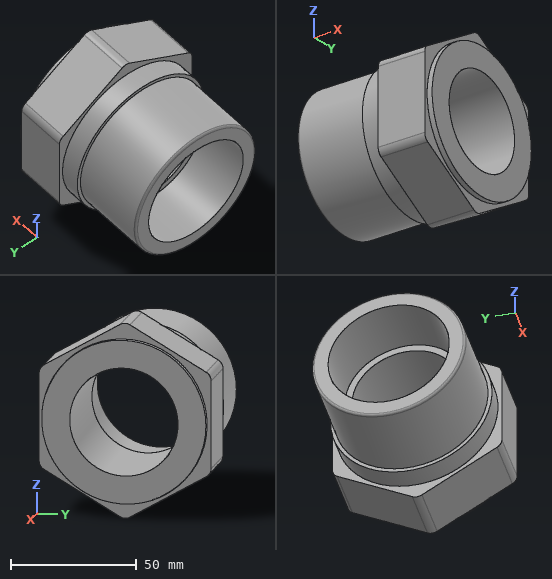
import cadquery as cq
import math

total_length = 68.0
spigot_length = 33.5
hex_start = 42.5
hex_end = 65.5
socket_depth = 25.0

spigot_diameter = 63.5
collar_diameter = 66.8
socket_diameter = 50.0
bore_diameter = 43.9
hex_across_corners = 79.6
hex_corner_radius = 4.0
spigot_edge_radius = 0.95

corner_loss = hex_corner_radius * (1 / math.cos(math.pi / 6) - 1)
sharp_across_corners = hex_across_corners + 2 * corner_loss


def cylinder_along_x(diameter, start, end):
    return cq.Workplane("YZ", origin=(start, 0, 0)).circle(diameter / 2).extrude(end - start)


def hex_nut():
    """Hexagon with rounded corners, two of them pointing along Z."""
    nut = cq.Workplane("YZ").polygon(6, sharp_across_corners).extrude(hex_end - hex_start)
    nut = nut.edges("|X").fillet(hex_corner_radius)
    return nut.rotate((0, 0, 0), (1, 0, 0), 90).translate((hex_start, 0, 0))


spigot = cylinder_along_x(spigot_diameter, 0, spigot_length).faces("<X").edges().fillet(spigot_edge_radius)
collar = cylinder_along_x(collar_diameter, spigot_length, total_length)
body = spigot.union(collar).union(hex_nut())

socket = cylinder_along_x(socket_diameter, 0, socket_depth)
bore = cylinder_along_x(bore_diameter, 0, total_length)
result = body.cut(bore).cut(socket)